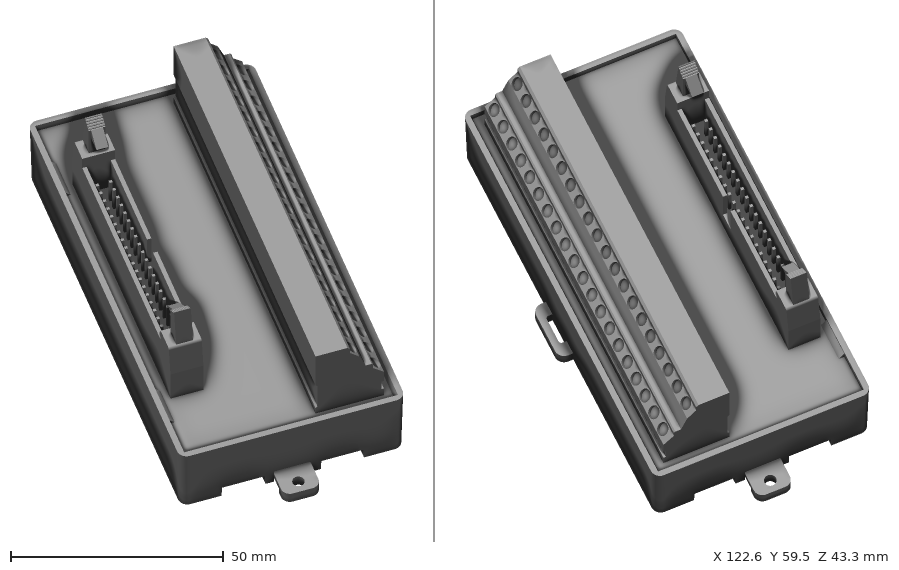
import cadquery as cq
import math

overall_length = 122.6
overall_height = 43.3
housing_length = 108.9
housing_width = 56.2
housing_height = 18.1
wall_draft = 1.1
corner_radius = 2.3

rim_width = 1.5
recess_depth = 2.0
floor_height = housing_height - recess_depth
recess_length = housing_length - 2 * rim_width
recess_width = housing_width - 2 * rim_width
back_wall_slope = 0.6

snap_length = 10.0
snap_width = 1.5
snap_height = 1.5
snap_offset = 36.9

rail_channel_height = 3.0
rail_channel_front = (-17.7, -6.7)
rail_channel_back = (7.1, 17.8)
rail_hook_length = 15.2

ear_width = 9.3
ear_thickness = 3.0
ear_hole_diameter = 3.0
ear_hole_spacing = 116.5
ear_corner_radius = 2.2
ear_step_length = 3.7
ear_step_height = 1.5
ear_step_width = 1.2
ear_pocket_height = 3.8
ear_pocket_depth = 1.8

tab_width = 15.3
tab_reach = 31.4
tab_slot_width = 8.0
tab_bar_width = 1.8
tab_corner_radius = 2.3
tab_slot_radius = 0.7

terminal_length = 100.8
terminal_count = 20
terminal_pitch = 5.0
terminal_shift = 0.5
terminal_hole_diameter = 3.3
terminal_hole_depth = 1.0

header_length = 69.6
header_front = -23.7
header_back = -15.5
header_wall = 1.1
header_wall_top = 29.9
header_cavity_length = 55.8
header_cavity_floor = 20.2
header_shoulder_height = 25.0
header_tower_top = 33.2
header_tower_length = 65.7
header_edge_radius = 0.7
key_slot_width = 4.3
key_slot_bottom = 21.5
pin_count = 20
pin_pitch = 2.54
pin_row_spacing = 3.3
pin_size = 0.7
pin_top = 27.0

latch_width = 4.2
latch_hook_width = 3.0
latch_outer = 33.1
latch_inner = 29.0
latch_tip = 31.6
latch_hook_reach = 25.3
latch_hook_bottom = 38.4
ridge_count = 5
ridge_crest = 0.2


def block(x_range, y_range, z_range):
    """Box between the given limits."""
    size = [limits[1] - limits[0] for limits in (x_range, y_range, z_range)]
    corner = (x_range[0], y_range[0], z_range[0])
    return cq.Workplane("XY").box(*size, centered=False).translate(corner)


def prism_along_x(points, length, x_middle=0.0):
    """Extrude a (Y, Z) outline along X, centred on x_middle."""
    return cq.Workplane("YZ", origin=(x_middle - length / 2, 0, 0)).polyline(points).close().extrude(length)


def prism_along_y(points, width, y_middle):
    """Extrude an (X, Z) outline along Y, centred on y_middle."""
    return cq.Workplane("XZ", origin=(0, y_middle + width / 2, 0)).polyline(points).close().extrude(width)


def rounded_rectangle(length, width):
    return cq.Sketch().rect(length, width).vertices().fillet(corner_radius)


def housing_shell():
    lean = housing_height * math.tan(math.radians(wall_draft))
    foot = rounded_rectangle(housing_length - 2 * lean, housing_width - 2 * lean)
    rim = rounded_rectangle(housing_length, housing_width)
    rim_place = cq.Location(cq.Vector(0, 0, housing_height))
    return cq.Workplane("XY").placeSketch(foot, rim.moved(rim_place)).loft()


def rim_recess():
    front = -recess_width / 2
    back = recess_width / 2
    outline = [
        (front, housing_height),
        (front, floor_height),
        (back - back_wall_slope, floor_height),
        (back, housing_height),
    ]
    return prism_along_x(outline, recess_length)


def board_snap(x_middle):
    """Wedge on the front recess wall."""
    front = -recess_width / 2
    outline = [(front, floor_height), (front + snap_width, floor_height), (front, floor_height + snap_height)]
    return prism_along_x(outline, snap_length, x_middle)


def rail_channel(y_range):
    return block((-overall_length, overall_length), y_range, (0, rail_channel_height))


def rail_hooks():
    back = rail_channel_back[1]
    front = rail_channel_front[0]
    back_hook = [(back, 0), (back - 0.7, 0), (back - 1.6, 1.0), (back - 1.6, 1.8), (back, 1.8)]
    front_hook = [(front, 0), (front + 0.7, 0), (front + 2.7, 0.9), (front + 2.7, 1.5), (front, 1.5)]
    return prism_along_x(back_hook, rail_hook_length).union(prism_along_x(front_hook, rail_hook_length))


def ear_pocket(side):
    """Opening in the end wall, slightly taller than the ear."""
    wall = side * housing_length / 2
    inner = wall - side * ear_pocket_depth
    x_range = (min(wall, inner), max(wall, inner))
    return block(x_range, (-ear_width / 2, ear_width / 2), (0, ear_pocket_height))


def mounting_ear(side):
    inner = housing_length / 2 - ear_pocket_depth
    tip = overall_length / 2
    ear = block((inner, tip), (-ear_width / 2, ear_width / 2), (0, ear_thickness))
    ear = ear.edges("|Z and >X").fillet(ear_corner_radius)
    hole = (
        cq.Workplane("XY")
        .center(ear_hole_spacing / 2, 0)
        .circle(ear_hole_diameter / 2)
        .extrude(ear_thickness)
    )
    ear = ear.cut(hole)
    for edge in (-1, 1):
        y_outer = edge * ear_width / 2
        y_inner = y_outer - edge * ear_step_width
        y_range = (min(y_outer, y_inner), max(y_outer, y_inner))
        ear = ear.cut(block((inner, tip - ear_step_length), y_range, (0, ear_step_height)))
    if side < 0:
        ear = ear.mirror("YZ")
    return ear


def release_tab():
    """Slotted tab at the foot of the rear wall."""
    root = housing_width / 2 - 2 * rim_width
    tab = block((-tab_width / 2, tab_width / 2), (root, tab_reach), (0, ear_thickness))
    tab = tab.edges("|Z and >Y").fillet(tab_corner_radius)
    slot_end = tab_reach - tab_bar_width
    wall_foot = housing_width / 2 - rim_width
    slot = block((-tab_slot_width / 2, tab_slot_width / 2), (wall_foot, slot_end), (0, ear_thickness))
    slot = slot.edges("|Z and >Y").fillet(tab_slot_radius)
    return tab.cut(slot)


def make_housing():
    housing = housing_shell().cut(rim_recess())
    for side in (-1, 1):
        housing = housing.union(board_snap(side * snap_offset))
    for y_range in (rail_channel_front, rail_channel_back):
        housing = housing.cut(rail_channel(y_range))
    housing = housing.union(rail_hooks()).union(release_tab())
    for side in (-1, 1):
        housing = housing.cut(ear_pocket(side)).union(mounting_ear(side))
    return housing


lower_slope = ((24.0, 24.8), (21.3, 27.1))
upper_slope = ((17.9, 32.7), (15.6, 35.0))


def terminal_profile():
    front = 7.0
    front_waist = 7.5
    back = lower_slope[0][0]
    back_waist = 23.4
    flange_top = 18.6
    slant = 0.5
    front_waist_top = 26.5
    back_waist_top = 21.3
    step_height = 28.8
    top = 37.0
    return [
        (front, floor_height),
        (front, flange_top - slant),
        (front_waist, flange_top),
        (front_waist, front_waist_top - slant),
        (front, front_waist_top),
        (front, top),
        (15.0, top),
        (upper_slope[1][0], 36.4),
        upper_slope[1],
        upper_slope[0],
        (19.5, step_height),
        (21.0, step_height),
        (lower_slope[1][0], 28.5),
        lower_slope[1],
        lower_slope[0],
        (back, back_waist_top),
        (back_waist, back_waist_top),
        (back_waist, flange_top),
        (back, flange_top),
        (back, floor_height),
    ]


def terminal_openings(slope):
    """Row of blind round openings square to a sloping face."""
    (y_low, z_low), (y_high, z_high) = slope
    run = y_low - y_high
    rise = z_high - z_low
    face = cq.Plane(
        origin=(terminal_shift, (y_low + y_high) / 2, (z_low + z_high) / 2),
        xDir=(1, 0, 0),
        normal=(0, rise, run),
    )
    return (
        cq.Workplane(face)
        .rarray(terminal_pitch, 1.2, terminal_count, 1)
        .circle(terminal_hole_diameter / 2)
        .extrude(-terminal_hole_depth)
    )


def make_terminal_block():
    terminal_block = prism_along_x(terminal_profile(), terminal_length)
    for slope in (lower_slope, upper_slope):
        terminal_block = terminal_block.cut(terminal_openings(slope))
    return terminal_block


header_middle = (header_front + header_back) / 2


def header_shell():
    half = header_length / 2
    half_top = header_tower_length / 2 + header_edge_radius
    outline = [
        (-half, floor_height),
        (half, floor_height),
        (half, header_shoulder_height),
        (half_top, header_tower_top),
        (-half_top, header_tower_top),
        (-half, header_shoulder_height),
    ]
    width = header_back - header_front
    shell = prism_along_y(outline, width, header_middle)
    top_ends = shell.faces(">Z").edges("|Y")
    return top_ends.fillet(header_edge_radius)


def header_cavity():
    x_range = (-header_cavity_length / 2, header_cavity_length / 2)
    above_walls = block(x_range, (header_front, header_back), (header_wall_top, header_tower_top))
    inner_y = (header_front + header_wall, header_back - header_wall)
    well = block(x_range, inner_y, (header_cavity_floor, header_wall_top))
    key_slot = block(
        (-key_slot_width / 2, key_slot_width / 2),
        (header_back - header_wall, header_back),
        (key_slot_bottom, header_wall_top),
    )
    return above_walls.union(well).union(key_slot)


def header_pins():
    return (
        cq.Workplane("XY", origin=(0, header_middle, header_cavity_floor))
        .rarray(pin_pitch, pin_row_spacing, pin_count, 2)
        .rect(pin_size, pin_size)
        .extrude(pin_top - header_cavity_floor)
    )


def latch():
    """Latch arm at the +X end with an inward hook and a ridged thumb face."""
    slope = (overall_height - latch_hook_bottom) / (latch_tip - latch_hook_reach)
    inner_top = overall_height - slope * (latch_tip - latch_inner)
    arm_outline = [
        (latch_outer, header_tower_top),
        (latch_tip, overall_height),
        (latch_inner, inner_top),
        (latch_inner, header_tower_top),
    ]
    hook_outline = [
        (latch_inner, latch_hook_bottom),
        (latch_inner, inner_top),
        (latch_hook_reach, latch_hook_bottom),
    ]
    arm = prism_along_y(arm_outline, latch_width, header_middle)
    hook = prism_along_y(hook_outline, latch_hook_width, header_middle)
    ridge_pitch = (latch_tip - latch_inner) / ridge_count
    for index in range(ridge_count):
        x_high = latch_tip - index * ridge_pitch
        x_low = x_high - ridge_pitch
        z_high = overall_height - slope * index * ridge_pitch
        z_low = z_high - slope * ridge_pitch
        x_crest = x_high - ridge_crest
        notch = [(x_crest, z_high - slope * ridge_crest), (x_low, z_low), (x_crest, z_low)]
        arm = arm.cut(prism_along_y(notch, latch_width, header_middle))
    return arm.union(hook)


def make_header():
    header = header_shell().cut(header_cavity()).union(header_pins())
    return header.union(latch()).union(latch().mirror("YZ"))


housing = make_housing()
terminal_block = make_terminal_block()
header = make_header()

result = cq.Compound.makeCompound([housing.val(), terminal_block.val(), header.val()])